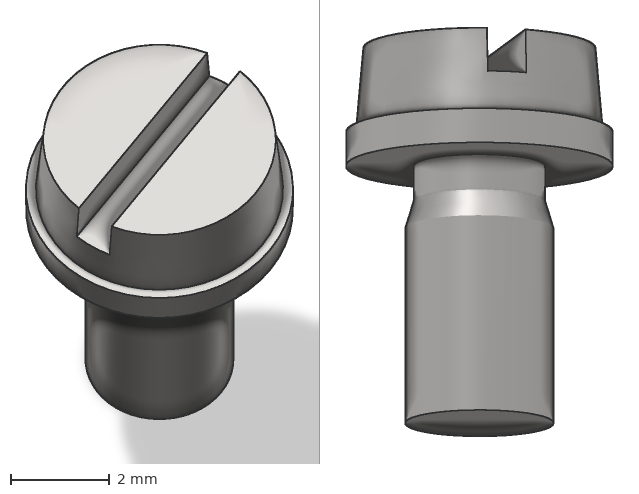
import cadquery as cq


head_height = 1.72
head_base_diameter = 5.0
head_top_diameter = 4.7
slot_width = 0.8
slot_depth = 0.9

shank_diameter = 3.0
shank_length = 4.0
neck_diameter = 2.66
taper_length = 0.56
length_under_head = 5.98

washer_diameter = 5.4
washer_thickness = 0.7

tip_z = -length_under_head
shank_top_z = tip_z + shank_length
neck_bottom_z = shank_top_z + taper_length


def make_screw():
    """Revolve the half profile of the screw and cut the driver slot across its head."""
    body = (
        cq.Workplane("XZ")
        .moveTo(0, tip_z)
        .lineTo(shank_diameter / 2, tip_z)
        .lineTo(shank_diameter / 2, shank_top_z)
        .lineTo(neck_diameter / 2, neck_bottom_z)
        .lineTo(neck_diameter / 2, 0)
        .lineTo(head_base_diameter / 2, 0)
        .lineTo(head_top_diameter / 2, head_height)
        .lineTo(0, head_height)
        .close()
        .revolve(360, (0, 0, 0), (0, 1, 0))
    )
    slot = (
        cq.Workplane("XY")
        .workplane(offset=head_height - slot_depth)
        .rect(slot_width, head_base_diameter)
        .extrude(slot_depth)
    )
    return body.cut(slot)


def make_washer():
    """Flat ring that fits the neck and bears against the underside of the head."""
    return (
        cq.Workplane("XY")
        .workplane(offset=-washer_thickness)
        .circle(washer_diameter / 2)
        .circle(neck_diameter / 2)
        .extrude(washer_thickness)
    )


screw = make_screw()
washer = make_washer()

result = cq.Compound.makeCompound([screw.val(), washer.val()])